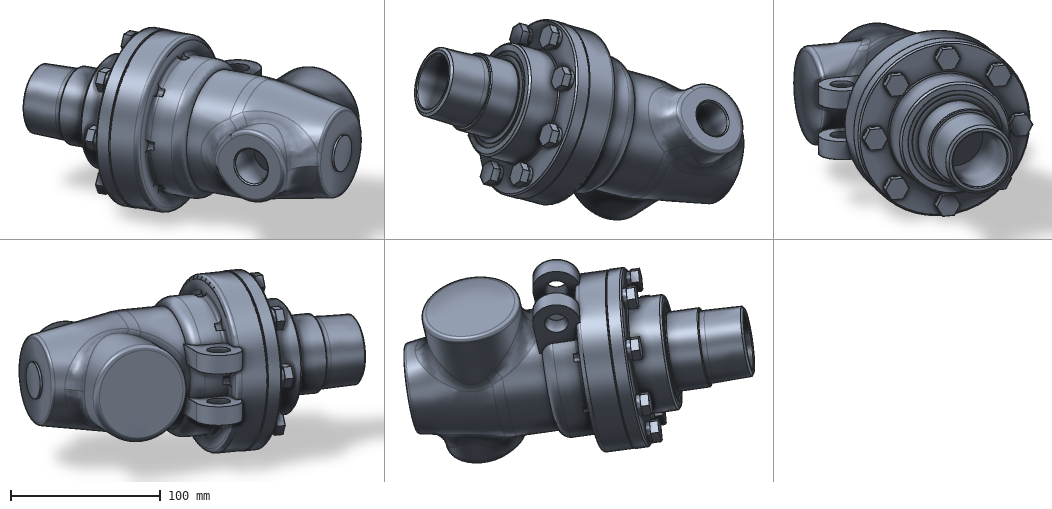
import cadquery as cq
import math


bore_d = 38.0
bore_depth = 52.1
bore_chamfer = 0.7
spigot_face_d = 43.5
spigot_tip_d = 47.5
spigot_chamfer = 1.4
land_d = 49.0
taper_end_x = 25.8
neck_x = 29.5
neck_d = 53.5
neck_chamfer = 0.7
neck_relief_x = 51.2
neck_relief_d = 53.0

collar_x = 52.1
collar_d = 78.0
collar_chamfer = 1.4
collar_base_bevel = 1.0
groove_inner_d = 60.5
groove_outer_d = 66.6
ring_groove_depth = 1.2

cover_x = 75.6
cover_d = 121.0
cover_chamfer = 1.2
seam_x = 85.5
seam_width = 1.0
seam_depth = 1.2
flange_d = 120.4
flange_back_x = 107.7
flange_fillet = 3.2

hub_d = 94.5
hub_end_x = 134.7
hub_base_fillet = 2.8
hub_end_fillet = 8.8
barrel_d = 82.5
barrel_end_x = 166.5
barrel_blend = 43.8
tail_end_x = 229.0
tail_end_d = 60.9
tail_fillet = 2.3
stub_d = 25.0
overall_length = 230.5

bolt_count = 8
bolt_circle_d = 102.0
bolt_head_x = 66.9
bolt_head_flats = 14.3
bolt_head_height = 5.8
bolt_washer_d = 13.5
bolt_hole_d = 9.5
bolt_hole_end_x = 112.8

lug_x = 120.1
lug_eye_y = 57.5
lug_width = 31.5
lug_root_y = 32.3
lug_eye_d = 15.7
lug_thickness = 12.7
lug_gap = 22.5

port_x = 177.8
port_d = 66.6
port_end_y = 62.0
port_blend = 11.5
port_rim_fillet = 3.2
boss_x = 189.0
boss_d = 50.7
boss_end_y = -52.3
boss_blend = 18.5
boss_rim_fillet = 2.8
boss_hole_d = 24.5
boss_hole_depth = 27.7
boss_hole_chamfer = 1.0

trim_length = 18.5

pick_margin = 0.2


def x_cylinder(diameter, start_x, end_x):
    """Solid cylinder on the main axis between two X positions."""
    return cq.Workplane("YZ", origin=(start_x, 0, 0)).circle(diameter / 2).extrude(end_x - start_x)


def make_barrel():
    """Cylindrical barrel running smoothly into the tapered tail, left over-long for trimming."""
    tail_slope = (barrel_d - tail_end_d) / 2 / (tail_end_x - barrel_end_x)
    profile = (
        cq.Workplane("XY")
        .moveTo(flange_back_x, 0)
        .lineTo(flange_back_x, barrel_d / 2)
        .lineTo(barrel_end_x, barrel_d / 2)
        .lineTo(tail_end_x + trim_length, tail_end_d / 2 - tail_slope * trim_length)
        .lineTo(tail_end_x + trim_length, 0)
        .close()
    )
    barrel = profile.revolve(360, (0, 0, 0), (1, 0, 0))
    crease = cq.selectors.BoxSelector(
        (barrel_end_x - pick_margin, -barrel_d, -barrel_d),
        (barrel_end_x + pick_margin, barrel_d, barrel_d),
        boundingbox=True,
    )
    return barrel.edges(crease).fillet(barrel_blend)


def add_side_branch(body, center_x, diameter, end_y, blend):
    """Round branch blended into the body, left over-long beyond end_y for trimming."""
    long_end_y = end_y + math.copysign(trim_length, end_y)
    branch = (
        cq.Workplane("XZ", origin=(center_x, 0, 0))
        .circle(diameter / 2)
        .extrude(-long_end_y)
    )
    reach = diameter / 2 + pick_margin
    near_y, far_y = sorted((math.copysign(pick_margin, end_y), end_y))
    seam = cq.selectors.BoxSelector(
        (center_x - reach, near_y, -reach), (center_x + reach, far_y, reach), boundingbox=True
    )
    return body.union(branch).edges(seam).fillet(blend)


def trim_housing(body):
    """Cut the tail, port and boss to length and round their rims."""
    envelope = (
        cq.Workplane("XY")
        .box(tail_end_x, port_end_y - boss_end_y, flange_d, centered=(False, False, True))
        .translate((0, boss_end_y, 0))
    )
    body = body.intersect(envelope)
    body = body.faces(">Y").edges().fillet(port_rim_fillet)
    body = body.faces("<Y").edges().fillet(boss_rim_fillet)
    return body.faces(">X").edges().fillet(tail_fillet)


def make_front_end():
    """Turned spigot, neck, collar, cover flange and housing flange in one revolve."""
    cover_r = cover_d / 2
    flange_r = flange_d / 2
    neck_r = neck_d / 2
    collar_r = collar_d / 2
    seam_r = flange_r - seam_depth
    points = [
        (0, 0),
        (0, spigot_face_d / 2),
        (spigot_chamfer, spigot_tip_d / 2),
        (taper_end_x, land_d / 2),
        (neck_x, land_d / 2),
        (neck_x, neck_r - neck_chamfer),
        (neck_x + neck_chamfer, neck_r),
        (neck_relief_x, neck_r),
        (neck_relief_x, neck_relief_d / 2),
        (collar_x, neck_relief_d / 2),
        (collar_x, collar_r - collar_chamfer),
        (collar_x + collar_chamfer, collar_r),
        (cover_x - collar_base_bevel, collar_r),
        (cover_x, collar_r + collar_base_bevel),
        (cover_x, cover_r - cover_chamfer),
        (cover_x + cover_chamfer, cover_r),
        (seam_x, cover_r),
        (seam_x, seam_r),
        (seam_x + seam_width, seam_r),
        (seam_x + seam_width, flange_r),
        (flange_back_x, flange_r),
        (flange_back_x, 0),
    ]
    front = cq.Workplane("XY").polyline(points).close().revolve(360, (0, 0, 0), (1, 0, 0))
    front = front.faces(">X").edges().fillet(flange_fillet)
    ring_groove = x_cylinder(groove_outer_d, collar_x, collar_x + ring_groove_depth).cut(
        x_cylinder(groove_inner_d, collar_x, collar_x + ring_groove_depth)
    )
    return front.cut(ring_groove)


def make_hub():
    """Round hub behind the housing flange, rounded where it drops to the barrel."""
    hub = x_cylinder(hub_d, flange_back_x, hub_end_x)
    return hub.faces(">X").edges().fillet(hub_end_fillet)


def make_hub_base_fillet():
    """Concave ring between the back of the housing flange and the hub."""
    hub_r = hub_d / 2
    corner = (
        cq.Workplane("XY")
        .moveTo(flange_back_x, hub_r)
        .lineTo(flange_back_x, hub_r + hub_base_fillet)
        .radiusArc((flange_back_x + hub_base_fillet, hub_r), -hub_base_fillet)
        .close()
    )
    return corner.revolve(360, (0, 0, 0), (1, 0, 0))


def make_bolt_hole():
    """Bolt hole end that breaks out behind the flange and notches the hub."""
    return x_cylinder(bolt_hole_d, flange_back_x, bolt_hole_end_x)


def make_bolt_head():
    """Hexagon head with two flats square to Z, on a round washer face."""
    corner_d = bolt_head_flats / math.cos(math.pi / 6)
    hexagon = (
        cq.Workplane("YZ", origin=(bolt_head_x, 0, 0))
        .polygon(6, corner_d)
        .extrude(bolt_head_height)
    )
    return hexagon.union(x_cylinder(bolt_washer_d, bolt_head_x, cover_x))


def on_bolt_circle(feature):
    """Copies of a feature at every bolt position, all kept in the same orientation."""
    copies = cq.Workplane("XY")
    for index in range(bolt_count):
        angle = 2 * math.pi * index / bolt_count
        offset_y = bolt_circle_d / 2 * math.cos(angle)
        offset_z = bolt_circle_d / 2 * math.sin(angle)
        copies = copies.add(feature.translate((0, offset_y, offset_z)))
    return copies.combine()


def make_lug(bottom_z):
    """Flat hinge lug with a rounded end and an eye along Z."""
    eye_r = lug_width / 2
    plate = (
        cq.Workplane("XY", origin=(0, 0, bottom_z))
        .moveTo(lug_x - eye_r, lug_root_y)
        .lineTo(lug_x - eye_r, lug_eye_y)
        .threePointArc((lug_x, lug_eye_y + eye_r), (lug_x + eye_r, lug_eye_y))
        .lineTo(lug_x + eye_r, lug_root_y)
        .close()
        .extrude(lug_thickness)
    )
    eye = (
        cq.Workplane("XY", origin=(lug_x, lug_eye_y, bottom_z))
        .circle(lug_eye_d / 2)
        .extrude(lug_thickness)
    )
    return plate.cut(eye)


def blind_hole(plane, origin, diameter, depth, chamfer):
    """Flat-bottomed hole against the plane's normal, with a chamfered mouth."""
    hole = cq.Workplane(plane, origin=origin).circle(diameter / 2).extrude(-depth)
    mouth = (
        cq.Workplane(plane, origin=origin)
        .circle(diameter / 2 + chamfer)
        .workplane(offset=-chamfer)
        .circle(diameter / 2)
        .loft()
    )
    return hole.union(mouth)


body = make_barrel()
body = add_side_branch(body, port_x, port_d, port_end_y, port_blend)
body = add_side_branch(body, boss_x, boss_d, boss_end_y, boss_blend)
body = trim_housing(body)
body = body.union(x_cylinder(stub_d, tail_end_x, overall_length))

body = body.union(make_hub())
body = body.union(make_front_end())
body = body.union(make_hub_base_fillet())
body = body.cut(on_bolt_circle(make_bolt_hole()))

body = body.union(on_bolt_circle(make_bolt_head()))
body = body.union(make_lug(lug_gap / 2))
body = body.union(make_lug(-lug_gap / 2 - lug_thickness))

spigot_bore = blind_hole("ZY", (0, 0, 0), bore_d, bore_depth, bore_chamfer)
boss_bore = blind_hole("XZ", (boss_x, boss_end_y, 0), boss_hole_d, boss_hole_depth, boss_hole_chamfer)

result = body.cut(spigot_bore).cut(boss_bore)